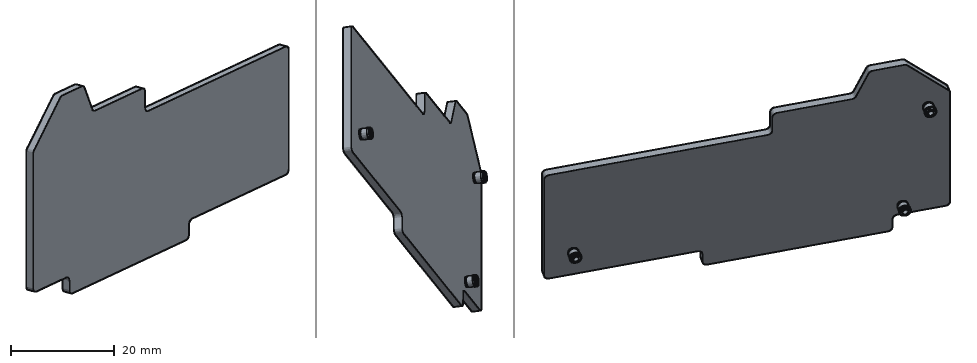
import cadquery as cq

LENGTH = 81.45
HEIGHT = 41.95
DEPTH = 4.0
PLATE_THICKNESS = 1.7
CORNER_RADIUS = 1.0

TOP = HEIGHT / 2
BOTTOM = -HEIGHT / 2
LONG_EDGE_Z = 9.45
STEP_Z = 14.7
LOWER_EDGE_Z = -17.1

REAR = LENGTH / 2
FRONT = -LENGTH / 2
STEP_Y = -5.05
SLOPE_FOOT_Y = -21.6
SLOPE_HEAD_Y = -24.6
BEVEL = 8.9
TAB_REAR_Y = 9.0
TAB_FRONT_Y = -29.15

SHANK_DIAMETER = 2.2
NECK_DIAMETER = 2.0
NECK_LENGTH = 0.3
RIM_DIAMETER = 2.4
RIM_LENGTH = 0.65
TIP_CHAMFER = 0.25
BORE_DIAMETER = 1.1
BORE_DEPTH = 1.2
PEG_CENTRES = [(34.95, -11.3), (-36.25, 9.4), (-31.1, -14.75)]

PLATE_FACE_X = DEPTH / 2 - PLATE_THICKNESS
PEG_LENGTH = DEPTH - PLATE_THICKNESS


def make_plate():
    """Stepped flat plate in the YZ plane with every outline corner rounded."""
    outline = [
        (REAR, LONG_EDGE_Z),
        (STEP_Y, LONG_EDGE_Z),
        (STEP_Y, STEP_Z),
        (SLOPE_FOOT_Y, STEP_Z),
        (SLOPE_HEAD_Y, TOP),
        (FRONT + BEVEL, TOP),
        (FRONT, TOP - BEVEL),
        (FRONT, LOWER_EDGE_Z),
        (TAB_FRONT_Y, LOWER_EDGE_Z),
        (TAB_FRONT_Y, BOTTOM),
        (TAB_REAR_Y, BOTTOM),
        (TAB_REAR_Y, LOWER_EDGE_Z),
        (REAR, LOWER_EDGE_Z),
    ]
    plate = cq.Workplane("YZ", origin=(PLATE_FACE_X, 0, 0)).polyline(outline).close()
    return plate.extrude(PLATE_THICKNESS).edges("|X").fillet(CORNER_RADIUS)


def make_peg(y, z):
    """Hollow peg standing out of the plate face toward -X."""
    base = cq.Workplane("YZ", origin=(PLATE_FACE_X, y, z))
    tip = base.workplane(offset=-PEG_LENGTH)
    neck = base.circle(NECK_DIAMETER / 2).extrude(-NECK_LENGTH)
    shank = tip.circle(SHANK_DIAMETER / 2).extrude(PEG_LENGTH - NECK_LENGTH)
    rim = tip.circle(RIM_DIAMETER / 2).extrude(RIM_LENGTH)
    bore = tip.circle(BORE_DIAMETER / 2).extrude(BORE_DEPTH)
    body = neck.union(shank).union(rim)
    return body.faces("<X").edges().chamfer(TIP_CHAMFER).cut(bore)


result = make_plate()
for peg_y, peg_z in PEG_CENTRES:
    result = result.union(make_peg(peg_y, peg_z))